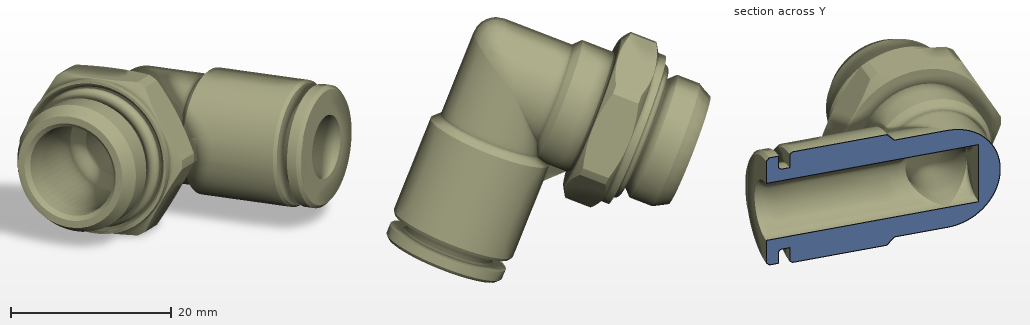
import cadquery as cq
import math


arm_radius = 7.0
collar_radius = 8.0
collar_rise = collar_radius - arm_radius
corner_ray_angle = 29.6

tube_collar_start = 7.08
tube_collar_end = 21.0
tube_collar_chamfer_length = 0.42
tube_collar_chamfer_depth = 0.3

ring_neck_radius = 5.8
ring_neck_end = 22.15
ring_start = 22.4
ring_fillet_height = 0.25
ring_end = 24.1
ring_radius = 7.75
ring_chamfer = 0.42
mark_radius = 7.25
mark_chord = 6.62
mark_height = 0.07

stem_collar_start = 5.05
stem_collar_chamfer = 0.3

hex_start = 10.48
hex_end = 15.47
hex_across_flats = 20.0
hex_corner_radius = 11.22
hex_chamfer_radius = 9.9
hex_chamfer_length = 0.78

flange_radius = 9.9
flange_end = 16.5
recess_mouth_radius = 9.55

neck_radius = 7.25
thread_start = 17.75
thread_radius = 8.2
thread_chamfer_start = 21.65
stem_end = 23.5
tip_radius = 7.22

seal_section_radius = 0.85
seal_radius = neck_radius + seal_section_radius
seal_outer_radius = seal_radius + seal_section_radius
seal_center = 16.6
recess_floor = seal_center - seal_section_radius

gusset_thickness = 2.97
gusset_reach = 17.95
gusset_root = 5.3

passage_radius = 4.07
stem_bore_radius = 5.77
stem_bore_floor = hex_start
stem_bore_taper = 1.0
stem_bore_mouth_radius = 6.3
stem_bore_chamfer = stem_bore_mouth_radius - stem_bore_radius


def turned_tube_arm(points):
    """Turn (x, radius) points about the X axis."""
    return cq.Workplane("XY").polyline(points).close().revolve(360, (0, 0, 0), (1, 0, 0))


def turned_stem(points):
    """Turn (distance along the stem, radius) points about the Y axis."""
    outline = [(radius, -distance) for distance, radius in points]
    return cq.Workplane("XY").polyline(outline).close().revolve(360, (0, 0, 0), (0, 1, 0))


def half_space(kept_direction):
    """Large block on one side of the Z axis, towards an angle in the XY plane."""
    size = 4 * stem_end
    block = cq.Workplane("XY").box(size, size, size).translate((size / 2, 0, 0))
    return block.rotate((0, 0, 0), (0, 0, 1), kept_direction)


def make_tube_arm():
    arm = turned_tube_arm([
        (-arm_radius, 0),
        (-arm_radius, arm_radius),
        (tube_collar_start, arm_radius),
        (tube_collar_start + collar_rise, collar_radius),
        (tube_collar_end - tube_collar_chamfer_length, collar_radius),
        (tube_collar_end, collar_radius - tube_collar_chamfer_depth),
        (tube_collar_end, ring_neck_radius),
        (ring_neck_end, ring_neck_radius),
        (ring_start, ring_neck_radius + ring_fillet_height),
        (ring_start, ring_radius),
        (ring_end - ring_chamfer, ring_radius),
        (ring_end, ring_radius - ring_chamfer),
        (ring_end, 0),
    ])
    return arm.intersect(half_space(corner_ray_angle))


def make_stem_arm():
    arm = turned_stem([
        (-arm_radius, 0),
        (-arm_radius, arm_radius),
        (stem_collar_start, arm_radius),
        (stem_collar_start + collar_rise, collar_radius),
        (hex_start - stem_collar_chamfer, collar_radius),
        (hex_start, collar_radius - stem_collar_chamfer),
        (hex_start, 0),
    ])
    return arm.intersect(half_space(270 - corner_ray_angle))


def make_corner():
    """Outer corner of the elbow: half ellipses on planes through Z, following a rounded mitre."""
    tangent_offset = arm_radius * math.tan(math.radians(corner_ray_angle))
    round_radius = arm_radius - tangent_offset
    round_steps = 4
    sections = []
    for step in range(round_steps + 1):
        angle = math.radians(90 + 90 * step / round_steps)
        x = -tangent_offset + round_radius * math.cos(angle)
        y = tangent_offset + round_radius * math.sin(angle)
        outward = cq.Vector(x, y, 0)
        reach = outward.Length
        half_ellipse = (
            cq.Workplane(cq.Plane((0, 0, 0), outward, cq.Vector(y, -x, 0)))
            .ellipseArc(reach, arm_radius, -90, 90, startAtCurrent=False)
            .val()
        )
        sections.append(half_ellipse)
    outer_face = cq.occ_impl.shapes.loft(*sections)
    axis_edge = cq.Edge.makeLine(cq.Vector(0, 0, arm_radius), cq.Vector(0, 0, -arm_radius))
    flat_faces = [
        cq.Face.makeFromWires(cq.Wire.assembleEdges([section, axis_edge]))
        for section in (sections[0], sections[-1])
    ]
    shell = cq.Shell.makeShell([*outer_face.Faces(), *flat_faces])
    return cq.Workplane(cq.Solid.makeSolid(shell))


def make_gusset():
    return (
        cq.Workplane("XY")
        .polyline([
            (gusset_root, -gusset_root),
            (gusset_reach - gusset_root, -gusset_root),
            (gusset_reach - hex_start, -hex_start),
            (gusset_root, -hex_start),
        ])
        .close()
        .extrude(gusset_thickness / 2, both=True)
    )


def make_release_mark():
    """Thin raised circle segment on the end face of the release ring."""
    half_chord = math.sqrt(mark_radius**2 - mark_chord**2)
    return (
        cq.Workplane("YZ", origin=(ring_end, 0, 0))
        .moveTo(-mark_chord, half_chord)
        .threePointArc((-mark_radius, 0), (-mark_chord, -half_chord))
        .close()
        .extrude(mark_height)
    )


def make_hexagon():
    prism = (
        cq.Workplane("XZ", origin=(0, -hex_start, 0))
        .polygon(6, hex_across_flats / math.cos(math.pi / 6))
        .extrude(hex_end - hex_start)
    )
    turned_envelope = turned_stem([
        (hex_start, 0),
        (hex_start, hex_chamfer_radius),
        (hex_start + hex_chamfer_length, hex_corner_radius),
        (hex_end - hex_chamfer_length, hex_corner_radius),
        (hex_end, hex_chamfer_radius),
        (hex_end, 0),
    ])
    return prism.intersect(turned_envelope)


def make_threaded_end():
    """Flange, seal recess, neck and threaded length."""
    return turned_stem([
        (hex_end, 0),
        (hex_end, flange_radius),
        (flange_end, flange_radius),
        (flange_end, recess_mouth_radius),
        (recess_floor, seal_outer_radius),
        (recess_floor, neck_radius),
        (thread_start, neck_radius),
        (thread_start + thread_radius - neck_radius, thread_radius),
        (thread_chamfer_start, thread_radius),
        (stem_end, tip_radius),
        (stem_end, 0),
    ])


def make_bores():
    tube_bore = cq.Workplane("YZ", origin=(-passage_radius, 0, 0)).circle(passage_radius)
    tube_bore = tube_bore.extrude(passage_radius + ring_end + mark_height)
    stem_bore = turned_stem([
        (0, 0),
        (0, passage_radius),
        (stem_bore_floor, passage_radius),
        (stem_bore_floor + stem_bore_taper, stem_bore_radius),
        (stem_end - stem_bore_chamfer, stem_bore_radius),
        (stem_end, stem_bore_mouth_radius),
        (stem_end, 0),
    ])
    return tube_bore.union(stem_bore)


def make_fitting():
    fitting = make_tube_arm().union(make_stem_arm()).union(make_corner())
    fitting = fitting.union(make_gusset()).union(make_release_mark())
    fitting = fitting.union(make_hexagon()).union(make_threaded_end())
    return fitting.cut(make_bores()).solids()


def make_seal_ring():
    return cq.Workplane(
        cq.Solid.makeTorus(
            seal_radius, seal_section_radius, cq.Vector(0, -seal_center, 0), cq.Vector(0, 1, 0)
        )
    )


fitting = make_fitting()
seal_ring = make_seal_ring()

result = cq.Compound.makeCompound([fitting.val(), seal_ring.val()])